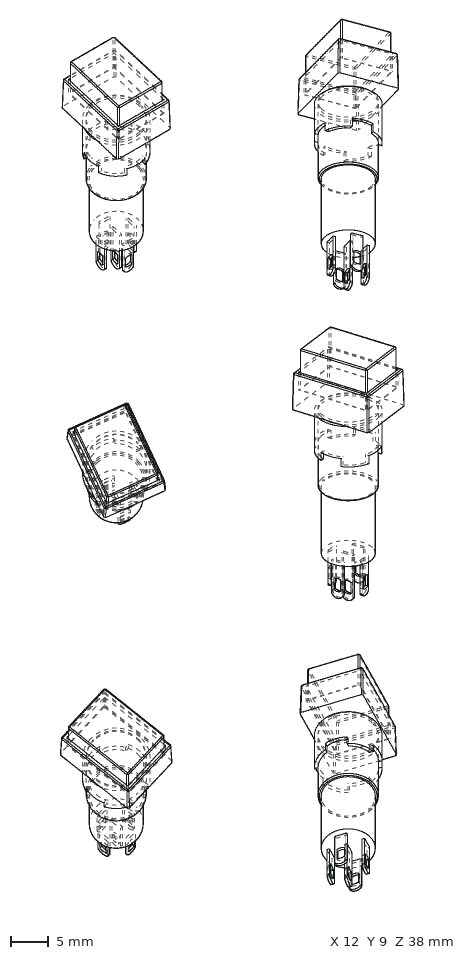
import cadquery as cq
import math


OVERALL_HEIGHT = 38.0

BEZEL_LENGTH = 12.0
BEZEL_WIDTH = 9.0
BEZEL_HEIGHT = 5.5
BEZEL_LEAN = 0.1

BUTTON_LENGTH = 10.5
BUTTON_WIDTH = 7.5
BUTTON_PROJECTION = 3.5
BUTTON_GAP = 0.08
RECESS_DEPTH = 2.65

EDGE_CHAMFER = 0.2

BARREL_RADIUS = 4.0
BARREL_BOTTOM = -11.97
BODY_RADIUS = 3.57
BODY_BOTTOM = -22.0

RING_RADIUS = 4.5
RING_TOP = -0.4
RING_BOTTOM = -6.5
NOTCH_WIDTH = 3.08
NOTCH_HEIGHT = 1.2
NOTCH_COUNT = 4

TERMINAL_WIDTH = 1.8
TERMINAL_THICKNESS = 0.38
TERMINAL_CIRCLE_RADIUS = 2.5
TERMINAL_COUNT = 4
OUTER_TERMINAL_LENGTH = 5.5
TERMINAL_END_RADIUS = 0.95
EYE_WIDTH = 1.05
EYE_HEIGHT = 1.98
EYE_TO_TIP = 1.03

BUTTON_TOP = BEZEL_HEIGHT + BUTTON_PROJECTION
RECESS_FLOOR = BEZEL_HEIGHT - RECESS_DEPTH
CENTRE_TERMINAL_LENGTH = OVERALL_HEIGHT - BUTTON_TOP + BODY_BOTTOM


def cylinder(radius, top, bottom):
    return cq.Workplane("XY").workplane(offset=bottom).circle(radius).extrude(top - bottom)


def turned(shape, angle):
    return shape.rotate((0, 0, 0), (0, 0, 1), angle)


def arc_rise(half_width):
    """Height of an end arc of a terminal or eye above its corners."""
    return TERMINAL_END_RADIUS - math.sqrt(TERMINAL_END_RADIUS**2 - half_width**2)


def terminal_blank(length):
    """Flat plate in the XZ plane with an arched tip, hanging from the underside of the body."""
    half_width = TERMINAL_WIDTH / 2
    tip = BODY_BOTTOM - length
    corner = tip + arc_rise(half_width)
    return (
        cq.Workplane("XZ")
        .moveTo(-half_width, BODY_BOTTOM)
        .lineTo(-half_width, corner)
        .threePointArc((0, tip), (half_width, corner))
        .lineTo(half_width, BODY_BOTTOM)
        .close()
        .extrude(TERMINAL_THICKNESS / 2, both=True)
    )


def terminal_eye(length):
    """Cutter for the wire eye: an upright slot with arched ends."""
    half_width = EYE_WIDTH / 2
    bottom = BODY_BOTTOM - length + EYE_TO_TIP
    top = bottom + EYE_HEIGHT
    rise = arc_rise(half_width)
    return (
        cq.Workplane("XZ")
        .moveTo(-half_width, top - rise)
        .lineTo(-half_width, bottom + rise)
        .threePointArc((0, bottom), (half_width, bottom + rise))
        .lineTo(half_width, top - rise)
        .threePointArc((0, top), (-half_width, top - rise))
        .close()
        .extrude(TERMINAL_THICKNESS, both=True)
    )


def flat_terminal(length):
    return terminal_blank(length).cut(terminal_eye(length))


def round_edged_terminal(length):
    """Terminal whose two long side edges are rounded across the whole thickness."""
    edge_profile = (
        cq.Workplane("XY")
        .workplane(offset=BODY_BOTTOM - length)
        .slot2D(TERMINAL_WIDTH, TERMINAL_THICKNESS)
        .extrude(length)
    )
    return flat_terminal(length).intersect(edge_profile)


def make_bezel():
    block = (
        cq.Workplane("XY")
        .rect(BEZEL_LENGTH, BEZEL_WIDTH)
        .workplane(offset=BEZEL_HEIGHT)
        .rect(BEZEL_LENGTH - 2 * BEZEL_LEAN, BEZEL_WIDTH - 2 * BEZEL_LEAN)
        .loft(ruled=True)
    )
    recess = (
        cq.Workplane("XY")
        .workplane(offset=RECESS_FLOOR)
        .rect(BUTTON_LENGTH + 2 * BUTTON_GAP, BUTTON_WIDTH + 2 * BUTTON_GAP)
        .extrude(RECESS_DEPTH)
    )
    return block.edges("not <Z").chamfer(EDGE_CHAMFER).cut(recess)


def make_housing():
    barrel = cylinder(BARREL_RADIUS, 0, BARREL_BOTTOM).faces("<Z").chamfer(EDGE_CHAMFER)
    body = cylinder(BODY_RADIUS, BARREL_BOTTOM, BODY_BOTTOM)
    housing = make_bezel().union(barrel).union(body).union(flat_terminal(CENTRE_TERMINAL_LENGTH))

    for index in range(TERMINAL_COUNT):
        on_x_axis = index % 2 == 1
        make_terminal = round_edged_terminal if on_x_axis else flat_terminal
        terminal = make_terminal(OUTER_TERMINAL_LENGTH).translate((0, -TERMINAL_CIRCLE_RADIUS, 0))
        housing = housing.union(turned(terminal, index * 360 / TERMINAL_COUNT))
    return housing


def make_button():
    block = (
        cq.Workplane("XY")
        .workplane(offset=RECESS_FLOOR)
        .rect(BUTTON_LENGTH, BUTTON_WIDTH)
        .extrude(BUTTON_TOP - RECESS_FLOOR)
    )
    return block.edges("not <Z").chamfer(EDGE_CHAMFER)


def make_locking_ring():
    ring = cylinder(RING_RADIUS, RING_TOP, RING_BOTTOM).cut(cylinder(BARREL_RADIUS, RING_TOP, RING_BOTTOM))
    notch = (
        cq.Workplane("XY")
        .box(RING_RADIUS, NOTCH_WIDTH, NOTCH_HEIGHT, centered=(False, True, False))
        .translate((0, 0, RING_BOTTOM))
    )
    for index in range(NOTCH_COUNT):
        ring = ring.cut(turned(notch, index * 360 / NOTCH_COUNT))
    return ring


housing = make_housing().solids()
button = make_button().solids()
locking_ring = make_locking_ring().solids()

result = cq.Compound.makeCompound([housing.val(), button.val(), locking_ring.val()])